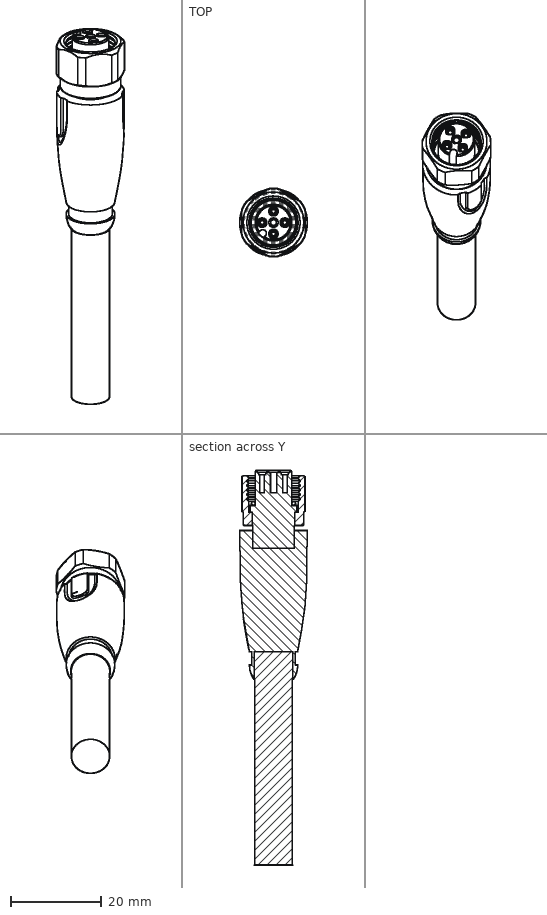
import cadquery as cq
import math


TOTAL_HEIGHT = 87.4
FACE_PROTRUSION = 1.2
NUT_TOP = TOTAL_HEIGHT - FACE_PROTRUSION
HEX_HEIGHT = 8.1
HEX_BOTTOM = NUT_TOP - HEX_HEIGHT
COLLAR_HEIGHT = 3.0
NUT_BOTTOM = HEX_BOTTOM - COLLAR_HEIGHT
NECK_GAP = 1.05
GRIP_TOP = NUT_BOTTOM - NECK_GAP

ACROSS_FLATS = 14.0
NUT_CORNER_RADIUS = 7.6
COLLAR_RADIUS = 6.75
HEX_TOP_CHAMFER_HEIGHT = 0.75
HEX_BOTTOM_CHAMFER_HEIGHT = 0.6
COLLAR_CHAMFER = 0.25
THREAD_MINOR_RADIUS = 5.45
THREAD_PITCH = 1.0
THREAD_DEPTH = 0.45
GROOVE_WIDTH = 0.9
THREAD_GROOVES = 5
FIRST_GROOVE_DEPTH = 1.2
MOUTH_CHAMFER = 0.45

CARRIER_RADIUS = 4.05
CARRIER_EDGE_CHAMFER = 0.3
NECK_RADIUS = 4.6
FLANGE_RADIUS = 5.2
FLANGE_HEIGHT = 1.5
FLANGE_BOTTOM = HEX_BOTTOM
FLANGE_TOP = FLANGE_BOTTOM + FLANGE_HEIGHT
CARRIER_EMBEDDED_LENGTH = 4.0
CARRIER_BOTTOM = GRIP_TOP - CARRIER_EMBEDDED_LENGTH
KEYWAY_RADIUS = 0.8
KEYWAY_OFFSET = 3.35
KEYWAY_ANGLE = 225.0
CONTACT_COUNT = 4
CONTACT_CIRCLE_RADIUS = 2.5
CONTACT_HOLE_STEPS = [(2.05, 0.5), (1.5, 1.0), (0.9, 5.0)]
CENTRE_HOLE_STEPS = [(2.05, 0.5), (1.3, 5.0)]

SEAL_SECTION_RADIUS = 0.45

CABLE_RADIUS = 8.5 / 2

GRIP_RADIUS = 7.5
WAIST_Z = 56.0
WAIST_RADIUS = 6.88
CONE_END_DIRECTION = (-0.18, -1)
CONE_BOTTOM_Z = 47.2
CONE_BOTTOM_RADIUS = 5.4
RELIEF_RADIUS = 4.85
BEAD_TOP_Z = 44.3
BEAD_RADIUS = 5.4
BEAD_BOTTOM_Z = 41.1
BEAD_BOTTOM_RADIUS = 4.4
BEAD_MIDDLE_Z = (BEAD_TOP_Z + BEAD_BOTTOM_Z) / 2
BEAD_MIDDLE_RADIUS = 5.2
CABLE_END_Z = CONE_BOTTOM_Z

MOAT_DEPTH = 0.4
MOAT_HALF_WIDTH = 3.8
MOAT_TIP_Z = 61.9
MOAT_ARCH_HEIGHT = 8.2
TONGUE_HALF_WIDTH = 1.7
TONGUE_TIP_Z = 64.3
TONGUE_ARCH_HEIGHT = 2.0
MOAT_WALL_RISE = 0.35
MOAT_WALL_RUN = 0.65
MARGIN = 1.0


def cylinder(radius, bottom, top):
    return cq.Workplane("XY").workplane(offset=bottom).circle(radius).extrude(top - bottom)


def ring_section(points):
    """Revolve a closed polygon of (radius, z) points around Z."""
    return cq.Workplane("XZ").polyline(points).close().revolve(360, (0, 0, 0), (0, 1, 0))


def make_nut():
    hexagon = (
        cq.Workplane("XY")
        .workplane(offset=HEX_BOTTOM)
        .polygon(6, ACROSS_FLATS, circumscribed=True)
        .extrude(HEX_HEIGHT)
    )
    turned_envelope = ring_section([
        (0, HEX_BOTTOM),
        (COLLAR_RADIUS, HEX_BOTTOM),
        (NUT_CORNER_RADIUS, HEX_BOTTOM + HEX_BOTTOM_CHAMFER_HEIGHT),
        (NUT_CORNER_RADIUS, NUT_TOP - HEX_TOP_CHAMFER_HEIGHT),
        (COLLAR_RADIUS, NUT_TOP),
        (0, NUT_TOP),
    ])
    collar = cylinder(COLLAR_RADIUS, NUT_BOTTOM, HEX_BOTTOM).faces("<Z").chamfer(COLLAR_CHAMFER)
    nut = hexagon.intersect(turned_envelope).union(collar)

    nut = nut.cut(cylinder(THREAD_MINOR_RADIUS, FLANGE_BOTTOM, NUT_TOP))
    nut = nut.cut(cylinder(NECK_RADIUS, NUT_BOTTOM, FLANGE_BOTTOM))
    mouth = ring_section([
        (0, NUT_TOP),
        (THREAD_MINOR_RADIUS + MOUTH_CHAMFER, NUT_TOP),
        (THREAD_MINOR_RADIUS, NUT_TOP - MOUTH_CHAMFER),
        (0, NUT_TOP - MOUTH_CHAMFER),
    ])
    nut = nut.cut(mouth)
    for index in range(THREAD_GROOVES):
        groove_z = NUT_TOP - FIRST_GROOVE_DEPTH - index * THREAD_PITCH
        nut = nut.cut(make_thread_groove(groove_z))
    return nut


def make_thread_groove(z):
    """V-shaped ring groove that stands for one turn of the inside thread."""
    half_width = GROOVE_WIDTH / 2
    return ring_section([
        (THREAD_MINOR_RADIUS - THREAD_DEPTH, z + half_width),
        (THREAD_MINOR_RADIUS, z + half_width),
        (THREAD_MINOR_RADIUS + THREAD_DEPTH, z),
        (THREAD_MINOR_RADIUS, z - half_width),
        (THREAD_MINOR_RADIUS - THREAD_DEPTH, z - half_width),
    ])


def make_carrier():
    body = cylinder(CARRIER_RADIUS, FLANGE_TOP, TOTAL_HEIGHT).faces(">Z").chamfer(CARRIER_EDGE_CHAMFER)
    flange = cylinder(FLANGE_RADIUS, FLANGE_BOTTOM, FLANGE_TOP)
    neck = cylinder(NECK_RADIUS, CARRIER_BOTTOM, FLANGE_BOTTOM)
    carrier = body.union(flange).union(neck)

    angle = math.radians(KEYWAY_ANGLE)
    keyway = cylinder(KEYWAY_RADIUS, FLANGE_TOP, TOTAL_HEIGHT).union(
        cq.Workplane("XY")
        .workplane(offset=FLANGE_TOP)
        .center(CARRIER_RADIUS / 2, 0)
        .rect(CARRIER_RADIUS, 2 * KEYWAY_RADIUS)
        .extrude(TOTAL_HEIGHT - FLANGE_TOP)
    )
    keyway = keyway.rotate((0, 0, 0), (0, 0, 1), KEYWAY_ANGLE)
    keyway = keyway.translate((KEYWAY_OFFSET * math.cos(angle), KEYWAY_OFFSET * math.sin(angle), 0))
    carrier = carrier.cut(keyway)

    face = cq.Workplane("XY").workplane(offset=TOTAL_HEIGHT)
    for diameter, depth in CONTACT_HOLE_STEPS:
        contact_holes = face.polarArray(CONTACT_CIRCLE_RADIUS, 0, 360, CONTACT_COUNT).circle(diameter / 2)
        carrier = carrier.cut(contact_holes.extrude(-depth))
    for diameter, depth in CENTRE_HOLE_STEPS:
        carrier = carrier.cut(face.circle(diameter / 2).extrude(-depth))
    return carrier


def make_seal():
    centre_radius = CARRIER_RADIUS + SEAL_SECTION_RADIUS
    centre_z = FLANGE_TOP + SEAL_SECTION_RADIUS
    return (
        cq.Workplane("XZ")
        .center(centre_radius, centre_z)
        .circle(SEAL_SECTION_RADIUS)
        .revolve(360, (-centre_radius, 0, 0), (-centre_radius, 1, 0))
    )


def arched_block(half_width, tip_z, arch_height):
    """Block in front of the axis that runs out at the grip top and ends below in a half-ellipse."""
    depth = GRIP_RADIUS + MARGIN
    arch_z = tip_z + arch_height
    top = GRIP_TOP + MARGIN
    straight_part = (
        cq.Workplane("XZ")
        .center(0, (arch_z + top) / 2)
        .rect(2 * half_width, top - arch_z)
        .extrude(depth)
    )
    arch = cq.Workplane("XZ").center(0, arch_z).ellipse(half_width, arch_height).extrude(depth)
    return straight_part.union(arch)


def make_front_moat():
    floor_radius = GRIP_RADIUS - MOAT_DEPTH
    moat = arched_block(MOAT_HALF_WIDTH, MOAT_TIP_Z, MOAT_ARCH_HEIGHT)
    moat = moat.cut(arched_block(TONGUE_HALF_WIDTH, TONGUE_TIP_Z, TONGUE_ARCH_HEIGHT))
    moat = moat.cut(cylinder(floor_radius, 0, TOTAL_HEIGHT))
    return moat.faces("%CYLINDER").edges().chamfer(MOAT_WALL_RISE, MOAT_WALL_RUN)


def make_grip():
    profile = (
        cq.Workplane("XZ")
        .moveTo(0, GRIP_TOP)
        .lineTo(GRIP_RADIUS, GRIP_TOP)
        .spline(
            [(WAIST_RADIUS, WAIST_Z), (CONE_BOTTOM_RADIUS, CONE_BOTTOM_Z)],
            tangents=[(0, -1), CONE_END_DIRECTION],
            includeCurrent=True,
        )
        .lineTo(RELIEF_RADIUS, CONE_BOTTOM_Z)
        .lineTo(RELIEF_RADIUS, BEAD_TOP_Z)
        .lineTo(BEAD_RADIUS, BEAD_TOP_Z)
        .threePointArc((BEAD_MIDDLE_RADIUS, BEAD_MIDDLE_Z), (BEAD_BOTTOM_RADIUS, BEAD_BOTTOM_Z))
        .lineTo(0, BEAD_BOTTOM_Z)
        .close()
    )
    grip = profile.revolve(360, (0, 0, 0), (0, 1, 0))
    front_moat = make_front_moat()
    grip = grip.cut(front_moat).cut(front_moat.mirror("XZ"))
    grip = grip.cut(cylinder(CABLE_RADIUS, BEAD_BOTTOM_Z, CABLE_END_Z))
    return grip.cut(cylinder(NECK_RADIUS, CARRIER_BOTTOM, GRIP_TOP))


def make_cable():
    return cylinder(CABLE_RADIUS, 0, CABLE_END_Z)


nut = make_nut()
carrier = make_carrier()
seal = make_seal()
grip = make_grip()
cable = make_cable()

bodies = [nut, carrier, seal, grip, cable]
result = cq.Compound.makeCompound([body.solids().val() for body in bodies])